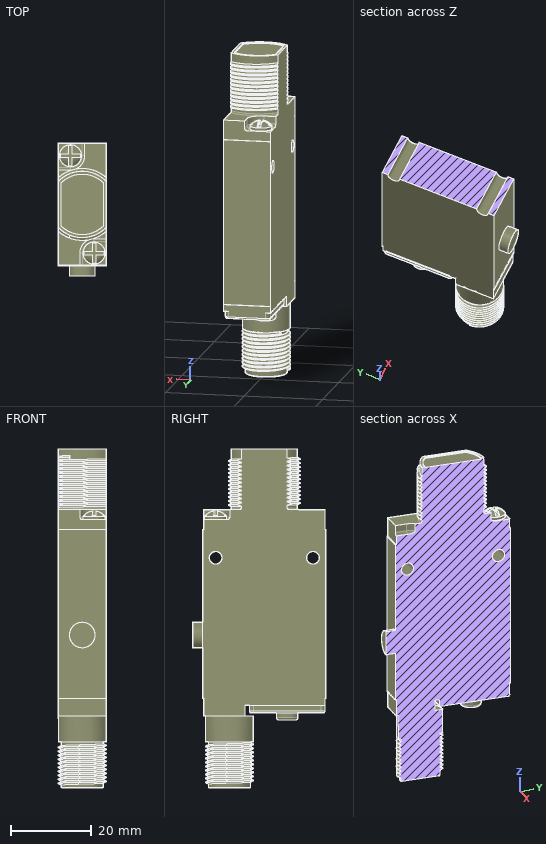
import cadquery as cq

HOUSING_WIDTH = 12.0
HOUSING_DEPTH = 30.8
HOUSING_HEIGHT = 42.2

CAP_DEPTH = 30.35
UPPER_CAP_HEIGHT = 5.0
LOWER_CAP_HEIGHT = 1.75
CONNECTOR_STEP_HEIGHT = 4.35
CONNECTOR_STEP_LENGTH = 10.4

TOWER_HEIGHT = 15.2
TOWER_COLLAR_HEIGHT = 1.65
TOWER_CORE_RADIUS = 8.3
TOWER_THREAD_RADIUS = 9.0
TOWER_BASE_FILLET = 0.4
LENS_INSET = 0.75
LENS_RECESS = 0.25

CONNECTOR_Y = -8.7
CONNECTOR_LENGTH = 18.07
CONNECTOR_SHANK_RADIUS = 6.0
CONNECTOR_SHANK_LENGTH = 6.5
CONNECTOR_CORE_RADIUS = 5.3
CONNECTOR_THREAD_RADIUS = 6.045
CONNECTOR_TIP_LENGTH = 0.7
CONNECTOR_TIP_CHAMFER = 0.2

THREAD_PITCH = 1.0
THREAD_ROOT_WIDTH = 0.96
THREAD_CREST_WIDTH = 0.12
THREAD_OVERLAP = 0.1

SCREW_X = -2.95
SCREW_Y = 12.17
POCKET_RADIUS = 3.55
POCKET_DEPTH = 2.5
POCKET_FILLET = 0.65
SCREW_HEAD_RADIUS = 2.75
SCREW_RIM_HEIGHT = 0.8
SCREW_HEAD_HEIGHT = 2.2
CROSS_WIDTH = 0.9
CROSS_LENGTH = 5.5
CROSS_DEPTH = 1.15

MOUNTING_HOLE_DIAMETER = 3.1
MOUNTING_HOLE_Z = 35.15

INDICATOR_DIAMETER = 6.4
INDICATOR_PROJECTION = 2.52
INDICATOR_Z = 15.85

COVER_LENGTH = 18.9
COVER_WIDTH = 11.5
COVER_THICKNESS = 1.85
COVER_CORNER_RADIUS = 1.0
COVER_CHAMFER_HEIGHT = 0.45
COVER_CHAMFER_INSET = 0.2
ADJUSTER_X = -2.7
ADJUSTER_DIAMETER = 5.4
ADJUSTER_HEIGHT = 1.85
ADJUSTER_FILLET = 0.7

CAP_TOP_Z = HOUSING_HEIGHT + UPPER_CAP_HEIGHT
POCKET_FLOOR_Z = CAP_TOP_Z - POCKET_DEPTH
TOWER_TOP_Z = CAP_TOP_Z + TOWER_HEIGHT


def block(width, depth, bottom, top):
    """Box centred on X and Y between two heights."""
    return cq.Workplane("XY", origin=(0, 0, bottom)).rect(width, depth).extrude(top - bottom)


def cylinder(radius, x, y, bottom, top):
    """Upright cylinder between two heights."""
    return cq.Workplane("XY", origin=(x, y, bottom)).circle(radius).extrude(top - bottom)


def thread_ridge(core_radius, crest_radius, y, start_z, length):
    """Right-handed helical ridge starting on the -X side of an upright axis."""
    inner = core_radius - THREAD_OVERLAP
    helix = cq.Workplane(cq.Wire.makeHelix(THREAD_PITCH, length, inner))
    profile = (
        cq.Workplane("XZ")
        .moveTo(inner, -THREAD_ROOT_WIDTH / 2)
        .lineTo(crest_radius, -THREAD_CREST_WIDTH / 2)
        .lineTo(crest_radius, THREAD_CREST_WIDTH / 2)
        .lineTo(inner, THREAD_ROOT_WIDTH / 2)
        .close()
    )
    ridge = profile.sweep(helix, isFrenet=True).rotate((0, 0, 0), (0, 0, 1), 180)
    return ridge.translate((0, y, start_z))


def housing():
    """Plain housing with its indicator and mounting holes."""
    body = block(HOUSING_WIDTH, HOUSING_DEPTH, 0, HOUSING_HEIGHT)
    indicator = (
        cq.Workplane("XZ", origin=(0, 0, INDICATOR_Z))
        .circle(INDICATOR_DIAMETER / 2)
        .extrude(HOUSING_DEPTH / 2 + INDICATOR_PROJECTION)
    )
    holes = (
        cq.Workplane("YZ")
        .pushPoints([(-SCREW_Y, MOUNTING_HOLE_Z), (SCREW_Y, MOUNTING_HOLE_Z)])
        .circle(MOUNTING_HOLE_DIAMETER / 2)
        .extrude(HOUSING_WIDTH, both=True)
    )
    return body.union(indicator).cut(holes)


def screw_pocket():
    """Corner pocket around the screw, open to the -X and +Y sides and upward."""
    side = 2 * POCKET_RADIUS + HOUSING_WIDTH
    left = SCREW_X + POCKET_RADIUS - side
    front = SCREW_Y - POCKET_RADIUS
    return (
        cq.Workplane("XY", origin=(left, front, POCKET_FLOOR_Z))
        .rect(side, side, centered=False)
        .extrude(POCKET_DEPTH)
        .edges("|Z and >X and <Y")
        .fillet(POCKET_RADIUS)
        .faces("<Z")
        .edges()
        .fillet(POCKET_FILLET)
    )


def screw():
    """Domed screw head with a cross recess, standing on the pocket floor."""
    dome_rise = SCREW_HEAD_HEIGHT - SCREW_RIM_HEIGHT
    dome_radius = (SCREW_HEAD_RADIUS**2 + dome_rise**2) / (2 * dome_rise)
    head_top = POCKET_FLOOR_Z + SCREW_HEAD_HEIGHT
    dome_z = head_top - dome_radius
    head = cylinder(SCREW_HEAD_RADIUS, SCREW_X, SCREW_Y, POCKET_FLOOR_Z, head_top)
    head = head.intersect(cq.Workplane("XY").sphere(dome_radius).translate((SCREW_X, SCREW_Y, dome_z)))
    for width, depth in ((CROSS_LENGTH, CROSS_WIDTH), (CROSS_WIDTH, CROSS_LENGTH)):
        slot = block(width, depth, head_top - CROSS_DEPTH, head_top)
        head = head.cut(slot.translate((SCREW_X, SCREW_Y, 0)))
    return head


def upper_cap():
    """Upper cap with a screw in two diagonally opposite corners."""
    cap = block(HOUSING_WIDTH, CAP_DEPTH, HOUSING_HEIGHT, CAP_TOP_Z)
    for angle in (0, 180):
        cap = cap.cut(screw_pocket().rotate((0, 0, 0), (0, 0, 1), angle))
        cap = cap.union(screw().rotate((0, 0, 0), (0, 0, 1), angle))
    return cap


def tower_base_flare():
    """Concave fillet ring around the foot of the tower."""
    outer_radius = TOWER_CORE_RADIUS + TOWER_BASE_FILLET
    return (
        cq.Workplane("XZ", origin=(0, 0, CAP_TOP_Z))
        .lineTo(outer_radius, 0)
        .radiusArc((TOWER_CORE_RADIUS, TOWER_BASE_FILLET), TOWER_BASE_FILLET)
        .lineTo(0, TOWER_BASE_FILLET)
        .close()
        .revolve(360, (0, 0, 0), (0, 1, 0))
    )


def tower():
    """Threaded tower with flats on its -X and +X sides and a shallow lens recess on top."""
    core = cylinder(TOWER_CORE_RADIUS, 0, 0, CAP_TOP_Z, TOWER_TOP_Z)
    start_z = CAP_TOP_Z + TOWER_BASE_FILLET + THREAD_ROOT_WIDTH / 2
    end_z = TOWER_TOP_Z - TOWER_COLLAR_HEIGHT - THREAD_ROOT_WIDTH / 2
    ridge = thread_ridge(TOWER_CORE_RADIUS, TOWER_THREAD_RADIUS, 0, start_z, end_z - start_z)
    flats = block(HOUSING_WIDTH, HOUSING_DEPTH, CAP_TOP_Z, TOWER_TOP_Z)
    lens_bottom = TOWER_TOP_Z - LENS_RECESS
    lens = cylinder(TOWER_CORE_RADIUS - LENS_INSET, 0, 0, lens_bottom, TOWER_TOP_Z)
    lens = lens.intersect(block(HOUSING_WIDTH - 2 * LENS_INSET, HOUSING_DEPTH, lens_bottom, TOWER_TOP_Z))
    return core.union(ridge).union(tower_base_flare()).intersect(flats).cut(lens)


def lower_cap():
    """Thin lower cap with a deeper step above the connector."""
    thin = block(HOUSING_WIDTH, CAP_DEPTH, -LOWER_CAP_HEIGHT, 0)
    step = block(HOUSING_WIDTH, CONNECTOR_STEP_LENGTH, -CONNECTOR_STEP_HEIGHT, 0)
    return thin.union(step.translate((0, (CONNECTOR_STEP_LENGTH - CAP_DEPTH) / 2, 0)))


def cover():
    """Cover plate with rounded corners and the adjuster below it, offset toward -X."""
    bottom = -LOWER_CAP_HEIGHT - COVER_THICKNESS
    plate = block(COVER_WIDTH, COVER_LENGTH, bottom, -LOWER_CAP_HEIGHT)
    plate = plate.edges("|Z").fillet(COVER_CORNER_RADIUS)
    plate = plate.faces("<Z").edges().chamfer(COVER_CHAMFER_HEIGHT, COVER_CHAMFER_INSET)
    adjuster = cylinder(ADJUSTER_DIAMETER / 2, ADJUSTER_X, 0, bottom - ADJUSTER_HEIGHT, bottom)
    adjuster = adjuster.faces("<Z").edges().fillet(ADJUSTER_FILLET)
    return plate.union(adjuster).translate((0, (CAP_DEPTH - COVER_LENGTH) / 2, 0))


def connector():
    """Round connector: plain shank, threaded length and chamfered tip."""
    top = -CONNECTOR_STEP_HEIGHT
    shank_end = top - CONNECTOR_SHANK_LENGTH
    tip = top - CONNECTOR_LENGTH
    shank = cylinder(CONNECTOR_SHANK_RADIUS, 0, CONNECTOR_Y, shank_end, top)
    core = cylinder(CONNECTOR_CORE_RADIUS, 0, CONNECTOR_Y, tip, top)
    core = core.faces("<Z").chamfer(CONNECTOR_TIP_CHAMFER)
    start_z = tip + CONNECTOR_TIP_LENGTH + THREAD_ROOT_WIDTH / 2
    end_z = shank_end - THREAD_PITCH / 2
    ridge = thread_ridge(
        CONNECTOR_CORE_RADIUS, CONNECTOR_THREAD_RADIUS, CONNECTOR_Y, start_z, end_z - start_z
    )
    return core.union(shank).union(ridge)


result = housing()
for feature in (upper_cap(), tower(), lower_cap(), cover(), connector()):
    result = result.union(feature)